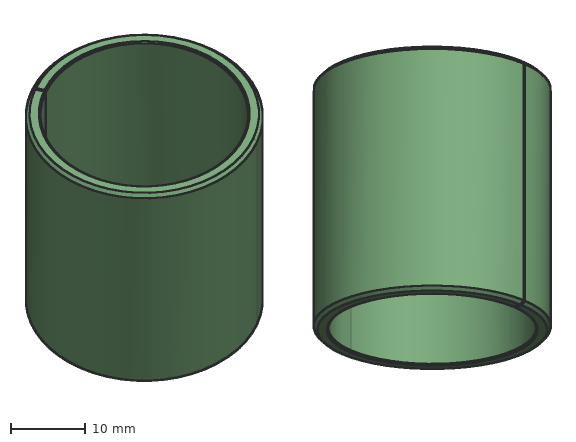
import cadquery as cq

length = 35.0
outer_diameter = 32.0
bore_diameter = 28.0

outer_chamfer = 0.52
bore_chamfer = 0.2
seam_width = 0.28

outer_radius = outer_diameter / 2
bore_radius = bore_diameter / 2


def make_sleeve():
    """Hollow cylinder with chamfered outer and bore rims at both ends."""
    profile = [
        (bore_radius, bore_chamfer),
        (bore_radius + bore_chamfer, 0),
        (outer_radius - outer_chamfer, 0),
        (outer_radius, outer_chamfer),
        (outer_radius, length - outer_chamfer),
        (outer_radius - outer_chamfer, length),
        (bore_radius + bore_chamfer, length),
        (bore_radius, length - bore_chamfer),
    ]
    section = cq.Workplane("XZ").polyline(profile).close()
    return section.revolve(360, (0, 0, 0), (0, 1, 0))


def make_seam():
    """Full-length cutter that splits the -X wall, with one face on the XZ plane."""
    cutter = cq.Workplane("XY").box(outer_radius, seam_width, length, centered=False)
    return cutter.translate((-outer_radius, 0, 0))


result = make_sleeve().cut(make_seam())